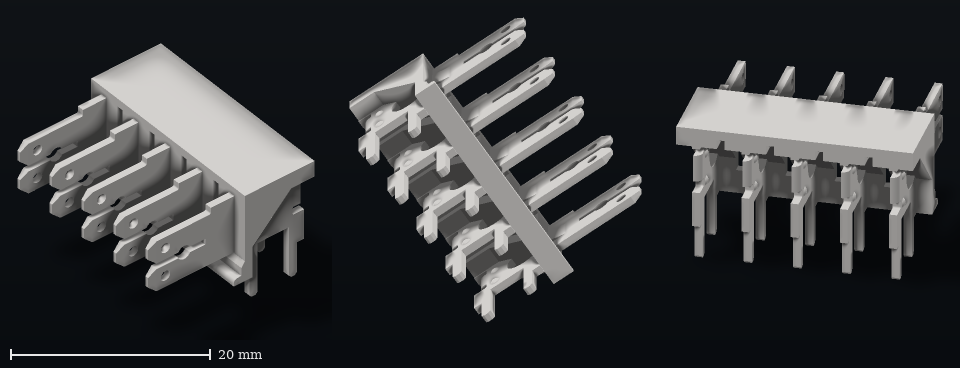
import cadquery as cq


LENGTH = 24.45
TERMINAL_COUNT = 5
PITCH = 5.08
TERMINAL_CENTERS = [(i - (TERMINAL_COUNT - 1) / 2) * PITCH for i in range(TERMINAL_COUNT)]
SLOT_CENTERS = [x + PITCH / 2 for x in TERMINAL_CENTERS[:-1]]

BACK_Y = 9.0
TOP_Z = 4.99
ROOF_THICKNESS = 2.0
ROOF_BOTTOM_Z = TOP_Z - ROOF_THICKNESS
SLOPE_TOP_Y = 6.0
WALL_BACK_Y = 1.0
HOUSING_BOTTOM_Z = -5.9
FOOT_TOP_Z = -3.35
FOOT_BEVEL_Z = -4.0
FOOT_Y = -0.45
LIP_Y = -1.42
LIP_TOP_Z = -5.0
LIP_RADIUS = 0.51
SLOT_WIDTH = 0.8

THICKNESS = 0.8
SHOULDER_Z = 3.98
SHOULDER_Y = -3.05
SHOULDER_RADIUS = 0.2
PLATE_BOTTOM_Z = -6.0
WINDOW_Y = 3.0
WINDOW_DIAMETER = 4.0

BLADE_HALF_HEIGHT = 3.18
BLADE_TIP_Y = -11.0
TAPER_Y = -10.07
TIP_THICKNESS = 0.42
TIP_HEIGHT = 1.22
SPLIT_HALF_HEIGHT = 0.37
SPLIT_END_Y = -3.76
SPLIT_HOLE_Y = -6.48
SPLIT_HOLE_DIAMETER = 1.65
PRONG_HOLE_Y = -8.9
PRONG_HOLE_DIAMETER = 1.2
PRONG_CENTER_Z = (BLADE_HALF_HEIGHT + SPLIT_HALF_HEIGHT) / 2

LEG_CENTERS_Y = [2.47, 7.55]
LEG_WIDTH = 1.08
LEG_TIP_Z = -10.02
LEG_CHAMFER = 0.3
LEG_ROOT_Z = -3.55

NOTCH_TOP_Z = 2.71
NOTCH_BOTTOM_Z = -2.2
NOTCH_DEPTH = 1.52
NOTCH_RADIUS = 0.25
TAB_TOP_Z = 1.7
TAB_BOTTOM_Z = -1.2
TAB_BACK_Y = 8.55
TAB_EDGE_RADIUS = 0.78

BUMP_Y = 6.48
BUMP_CENTERS_Z = [1.08, -2.0]
BUMP_DIAMETER = 1.0
BUMP_HEIGHT = 0.25
BARB_BACK_Y = -0.17
BARB_FRONT_Y = -2.18
BARB_HEIGHT = 0.32
BARB_BACK_Z = (-1.35, 1.32)
BARB_FRONT_Z = (-1.47, 1.47)


def along_x(sketch, width):
    """Extrude a closed YZ outline to the given width, centred on X = 0."""
    return sketch.extrude(width / 2, both=True)


def box_between(width, y_range, z_range):
    """Box centred on X = 0 that fills the given Y and Z ranges."""
    y_size = y_range[1] - y_range[0]
    z_size = z_range[1] - z_range[0]
    box = cq.Workplane("XY").box(width, y_size, z_size)
    return box.translate((0, sum(y_range) / 2, sum(z_range) / 2))


def cross_hole(y, z, diameter):
    """Cylinder along X that cuts through one terminal."""
    circle = cq.Workplane("YZ").center(y, z).circle(diameter / 2)
    return along_x(circle, 2 * THICKNESS)


def make_housing():
    slope_bottom_z = ROOF_BOTTOM_Z - (SLOPE_TOP_Y - WALL_BACK_Y)
    outline = (
        cq.Workplane("YZ")
        .moveTo(BACK_Y, TOP_Z)
        .lineTo(BACK_Y, ROOF_BOTTOM_Z)
        .lineTo(SLOPE_TOP_Y, ROOF_BOTTOM_Z)
        .lineTo(WALL_BACK_Y, slope_bottom_z)
        .lineTo(WALL_BACK_Y, HOUSING_BOTTOM_Z)
        .lineTo(LIP_Y, HOUSING_BOTTOM_Z)
        .lineTo(LIP_Y, LIP_TOP_Z - LIP_RADIUS)
        .radiusArc((LIP_Y + LIP_RADIUS, LIP_TOP_Z), LIP_RADIUS)
        .lineTo(FOOT_Y, LIP_TOP_Z)
        .lineTo(FOOT_Y, FOOT_BEVEL_Z)
        .lineTo(0, FOOT_TOP_Z)
        .lineTo(0, TOP_Z)
        .close()
    )
    housing = along_x(outline, LENGTH)
    slot = box_between(SLOT_WIDTH, (0, BACK_Y), (FOOT_TOP_Z, SHOULDER_Z))
    for x in SLOT_CENTERS:
        housing = housing.cut(slot.translate((x, 0, 0)))
    return housing


def make_body_plate():
    """Plate part behind the housing face, with the rounded tab and two notches."""
    back = box_between(THICKNESS, (WALL_BACK_Y, BACK_Y), (LEG_ROOT_Z, ROOF_BOTTOM_Z))
    recess_front_y = BACK_Y - NOTCH_DEPTH
    for z_range in [(TAB_TOP_Z, NOTCH_TOP_Z), (NOTCH_BOTTOM_Z, TAB_BOTTOM_Z)]:
        notch = box_between(2 * THICKNESS, (recess_front_y, BACK_Y), z_range)
        back = back.cut(notch.edges("|X and <Y").fillet(NOTCH_RADIUS))
    back = back.cut(box_between(2 * THICKNESS, (TAB_BACK_Y, BACK_Y), (TAB_BOTTOM_Z, TAB_TOP_Z)))
    tab_edge = cq.selectors.NearestToPointSelector(
        (-THICKNESS / 2, TAB_BACK_Y, (TAB_BOTTOM_Z + TAB_TOP_Z) / 2)
    )
    back = back.edges(tab_edge).fillet(TAB_EDGE_RADIUS)
    return back.cut(cross_hole(WINDOW_Y, 0, WINDOW_DIAMETER))


def make_legs():
    """Two solder legs with wider shoulders reaching the plate's outer edges."""
    half_width = LEG_WIDTH / 2
    front_y, back_y = LEG_CENTERS_Y
    shoulder_z = (PLATE_BOTTOM_Z, LEG_ROOT_Z)
    legs = box_between(THICKNESS, (WALL_BACK_Y, front_y + half_width), shoulder_z)
    legs = legs.union(box_between(THICKNESS, (back_y - half_width, BACK_Y), shoulder_z))
    for y in LEG_CENTERS_Y:
        leg = box_between(THICKNESS, (y - half_width, y + half_width), (LEG_TIP_Z, LEG_ROOT_Z))
        legs = legs.union(leg.edges("|X and <Z").chamfer(LEG_CHAMFER))
    return legs


def make_prong_tip():
    """Pyramid-like end of one prong, thinner and narrower towards its tip."""
    root_height = BLADE_HALF_HEIGHT - SPLIT_HALF_HEIGHT
    return (
        cq.Workplane("XZ", origin=(0, TAPER_Y, 0))
        .rect(THICKNESS, root_height)
        .workplane(offset=TAPER_Y - BLADE_TIP_Y)
        .rect(TIP_THICKNESS, TIP_HEIGHT)
        .loft()
    )


def make_blade():
    """Split blade with a taller shoulder next to the housing."""
    outline = (
        cq.Workplane("YZ")
        .moveTo(WALL_BACK_Y, -BLADE_HALF_HEIGHT)
        .lineTo(WALL_BACK_Y, SHOULDER_Z)
        .lineTo(SHOULDER_Y, SHOULDER_Z)
        .lineTo(SHOULDER_Y, BLADE_HALF_HEIGHT + SHOULDER_RADIUS)
        .radiusArc((SHOULDER_Y - SHOULDER_RADIUS, BLADE_HALF_HEIGHT), SHOULDER_RADIUS)
        .lineTo(TAPER_Y, BLADE_HALF_HEIGHT)
        .lineTo(TAPER_Y, -BLADE_HALF_HEIGHT)
        .close()
    )
    blade = along_x(outline, THICKNESS)
    split_z = (-SPLIT_HALF_HEIGHT, SPLIT_HALF_HEIGHT)
    blade = blade.cut(box_between(2 * THICKNESS, (TAPER_Y, SPLIT_END_Y), split_z))
    blade = blade.cut(cross_hole(SPLIT_HOLE_Y, 0, SPLIT_HOLE_DIAMETER))
    tip = make_prong_tip()
    for z in (-PRONG_CENTER_Z, PRONG_CENTER_Z):
        blade = blade.union(tip.translate((0, 0, z)))
        blade = blade.cut(cross_hole(PRONG_HOLE_Y, z, PRONG_HOLE_DIAMETER))
    return blade


def make_bump(z):
    """Rounded bump standing out of the -X face."""
    bump_radius = BUMP_DIAMETER / 2
    sphere_radius = (bump_radius**2 + BUMP_HEIGHT**2) / (2 * BUMP_HEIGHT)
    face_x = -THICKNESS / 2
    half_profile = (
        cq.Workplane("XY")
        .moveTo(0, 0)
        .lineTo(face_x - BUMP_HEIGHT, 0)
        .radiusArc((face_x, bump_radius), sphere_radius)
        .lineTo(0, bump_radius)
        .close()
    )
    bump = half_profile.revolve(360, (0, 0, 0), (1, 0, 0))
    return bump.translate((0, BUMP_Y, z))


def make_barb():
    """Wedge on the -X face, highest next to the housing and flush at its front end."""
    face_x = -THICKNESS / 2
    wedge = (
        cq.Workplane("XY")
        .moveTo(0, BARB_BACK_Y)
        .lineTo(face_x - BARB_HEIGHT, BARB_BACK_Y)
        .lineTo(face_x, BARB_FRONT_Y)
        .lineTo(0, BARB_FRONT_Y)
        .close()
        .extrude(BLADE_HALF_HEIGHT, both=True)
    )
    outline = (
        cq.Workplane("YZ")
        .polyline([
            (BARB_BACK_Y, BARB_BACK_Z[0]),
            (BARB_BACK_Y, BARB_BACK_Z[1]),
            (BARB_FRONT_Y, BARB_FRONT_Z[1]),
            (BARB_FRONT_Y, BARB_FRONT_Z[0]),
        ])
        .close()
    )
    return wedge.intersect(along_x(outline, 2 * THICKNESS))


def make_terminal():
    terminal = make_body_plate().union(make_legs()).union(make_blade()).union(make_barb())
    for z in BUMP_CENTERS_Z:
        terminal = terminal.union(make_bump(z))
    return terminal


result = make_housing()
terminal = make_terminal()
for x in TERMINAL_CENTERS:
    result = result.union(terminal.translate((x, 0, 0)))